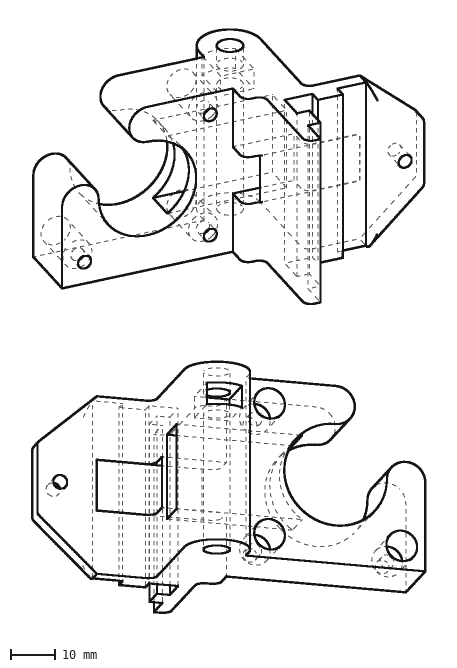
import cadquery as cq

width = 55.5
length = 84.5
height = 42.0
mid_z = height / 2

hinge_radius = 7.5
hinge_hole_diameter = 6.0
hinge_y = 49.5
block_right = 32.0
block_front = hinge_y - hinge_radius
block_back = hinge_y + hinge_radius
corner_radius = 2.0

plate_thickness = 3.55
inner_x = block_right + plate_thickness
inner_y = 50.5
tab_width = 6.2
tab_height = 3.0
tab_offset = 9.9

taper_start = 70.55
top_taper_drop = 12.2
bottom_taper_drop = 13.0
pad_thickness = 6.0
taper_corner_radius = 1.3
pad_rim_radius = 2.0
pad_hole_from_end = 5.4

arm_left = 10.0
arm_width = 16.05
arm_right = arm_left + arm_width
bore_radius = 12.0
bore_y = mid_z
tip_radius = (bore_y - bore_radius) / 2

screw_diameter = 3.2
counterbore_diameter = 7.2
counterbore_depth = 12.0
screw_offset = 15.5

window_left = 14.0
window_width = 7.95
window_height = 19.9
side_slot_height = 12.0
side_slot_recess = 0.25
nut_width = 8.2
nut_height = 5.1
nut_z = 34.6
nut_depth = 11.6


def box(x0, x1, y0, y1, z0, z1):
    """Box between opposite corners."""
    return cq.Workplane("XY").box(x1 - x0, y1 - y0, z1 - z0, centered=False).translate((x0, y0, z0))


def column(x0, x1, y0, y1):
    """Box over the full height of the part."""
    return box(x0, x1, y0, y1, 0, height)


def cylinder_along_x(diameter, x0, x1, y, z):
    return cq.Workplane("YZ", origin=(x0, y, z)).circle(diameter / 2).extrude(x1 - x0)


def make_block_and_bracket():
    outline = (
        cq.Workplane("XY")
        .moveTo(hinge_radius, block_front)
        .lineTo(block_right, block_front)
        .lineTo(block_right, inner_y - plate_thickness)
        .lineTo(width, inner_y - plate_thickness)
        .lineTo(width, inner_y)
        .lineTo(inner_x, inner_y)
        .lineTo(inner_x, taper_start)
        .lineTo(block_right, taper_start)
        .lineTo(block_right, block_back)
        .lineTo(hinge_radius, block_back)
        .threePointArc((0, hinge_y), (hinge_radius, block_front))
        .close()
        .extrude(height)
    )
    rounded_corners = [
        (block_right, block_front),
        (block_right, inner_y - plate_thickness),
        (width, inner_y - plate_thickness),
        (block_right, block_back),
    ]
    for x, y in rounded_corners:
        edge = cq.selectors.NearestToPointSelector((x, y, mid_z))
        outline = outline.edges("|Z").edges(edge).fillet(corner_radius)

    half_tab = tab_width / 2
    tab_x = inner_x + tab_offset
    tab_y = inner_y + tab_offset
    outline = outline.union(column(tab_x - half_tab, tab_x + half_tab, inner_y, inner_y + tab_height))
    return outline.union(column(inner_x, inner_x + tab_height, tab_y - half_tab, tab_y + half_tab))


def make_tapered_pad():
    pad = (
        cq.Workplane("YZ", origin=(block_right, 0, 0))
        .moveTo(taper_start, 0)
        .lineTo(length, bottom_taper_drop)
        .lineTo(length, height - top_taper_drop)
        .lineTo(taper_start, height)
        .close()
        .extrude(pad_thickness)
    )
    end_corners = cq.selectors.BoxSelector(
        (block_right, length - 0.85, 0), (block_right + pad_thickness, length + 0.85, height)
    )
    pad = pad.edges("|X").edges(end_corners).fillet(taper_corner_radius)
    pad = pad.faces(">X").edges().fillet(pad_rim_radius)
    hole_y = length - pad_hole_from_end
    return pad.cut(cylinder_along_x(screw_diameter, block_right, block_right + pad_thickness, hole_y, mid_z))


def make_arm():
    tip_top = height - 2 * tip_radius
    return (
        cq.Workplane("YZ", origin=(arm_left, 0, 0))
        .lineTo(block_front + corner_radius, 0)
        .lineTo(block_front + corner_radius, height)
        .lineTo(bore_y, height)
        .threePointArc((bore_y - tip_radius, height - tip_radius), (bore_y, tip_top))
        .lineTo(bore_y, mid_z)
        .lineTo(2 * tip_radius, mid_z)
        .threePointArc((tip_radius, mid_z + tip_radius), (0, mid_z))
        .close()
        .extrude(arm_width)
        .cut(cylinder_along_x(2 * bore_radius, arm_left, arm_right, bore_y, mid_z))
    )


def make_screw_holes():
    low = -screw_offset
    high = screw_offset
    holes = cq.Workplane("XY")
    for dy, dz in [(low, low), (high, low), (high, high)]:
        y = bore_y + dy
        z = mid_z + dz
        holes = holes.union(cylinder_along_x(screw_diameter, arm_left, arm_right, y, z))
        holes = holes.union(
            cylinder_along_x(counterbore_diameter, arm_left, arm_left + counterbore_depth, y, z)
        )
    return holes


def make_openings():
    hinge_hole = (
        cq.Workplane("XY")
        .center(hinge_radius, hinge_y)
        .circle(hinge_hole_diameter / 2)
        .extrude(height)
    )
    window = box(
        window_left, window_left + window_width, bore_y, block_back,
        mid_z - window_height / 2, mid_z + window_height / 2,
    )
    side_slot = box(
        arm_right, block_right + side_slot_recess, block_front, taper_start,
        mid_z - side_slot_height / 2, mid_z + side_slot_height / 2,
    )
    nut_pocket = box(
        0, nut_depth, hinge_y - nut_width / 2, hinge_y + nut_width / 2,
        nut_z - nut_height / 2, nut_z + nut_height / 2,
    )
    return hinge_hole.union(window).union(side_slot).union(nut_pocket)


body = make_block_and_bracket().union(make_tapered_pad()).union(make_arm())
result = body.cut(make_screw_holes()).cut(make_openings())